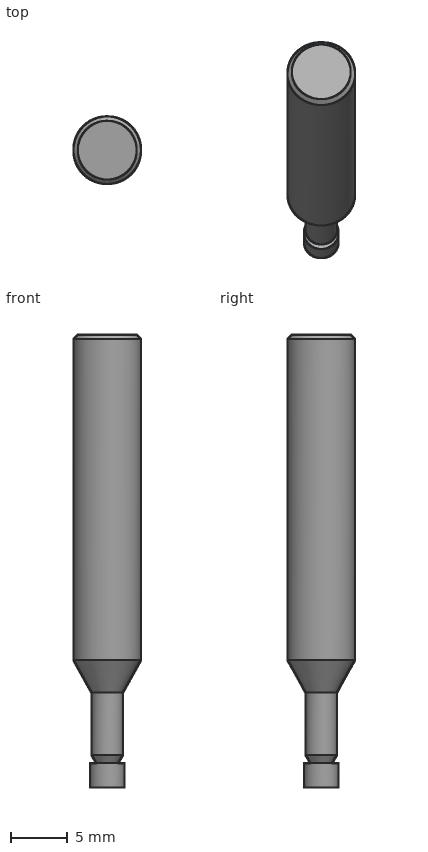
import cadquery as cq

TOTAL_LENGTH = 40.0
HEAD_LENGTH = 2.15
RELIEF_TOP = 2.9
NECK_TOP = 8.4
SHANK_BOTTOM = 11.3

SHANK_DIAMETER = 6.0
NECK_DIAMETER = 2.8
RELIEF_DIAMETER = 1.95
HEAD_DIAMETER = 3.1

SHANK_CHAMFER = 0.4


def make_cutting_head():
    """Plain cylindrical cutting head at the tip of the tool."""
    return cq.Workplane("XY").circle(HEAD_DIAMETER / 2).extrude(HEAD_LENGTH)


def make_holder():
    """Chamfered shank, tapering to a neck with a conical relief above the head."""
    shank_radius = SHANK_DIAMETER / 2
    neck_radius = NECK_DIAMETER / 2
    profile = [
        (0, HEAD_LENGTH),
        (RELIEF_DIAMETER / 2, HEAD_LENGTH),
        (neck_radius, RELIEF_TOP),
        (neck_radius, NECK_TOP),
        (shank_radius, SHANK_BOTTOM),
        (shank_radius, TOTAL_LENGTH - SHANK_CHAMFER),
        (shank_radius - SHANK_CHAMFER, TOTAL_LENGTH),
        (0, TOTAL_LENGTH),
    ]
    return cq.Workplane("XZ").polyline(profile).close().revolve(360, (0, 0, 0), (0, 1, 0))


cutting_head = make_cutting_head()
holder = make_holder()

result = cq.Compound.makeCompound([cutting_head.val(), holder.val()])